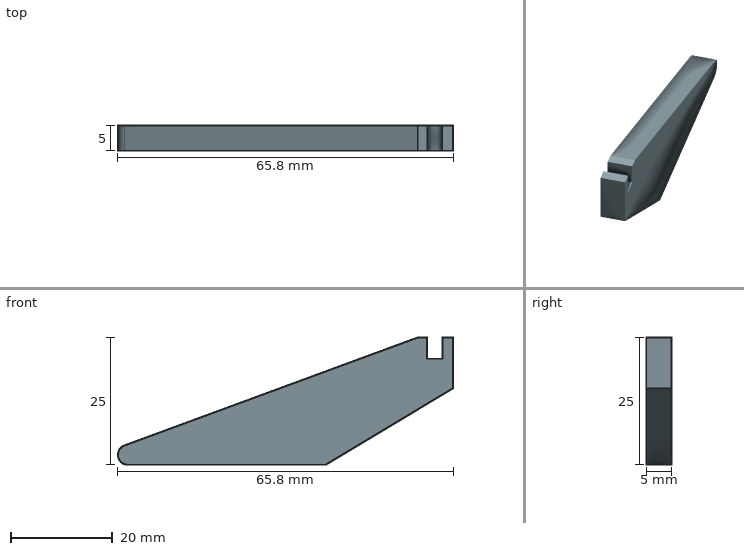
import cadquery as cq
import math

length = 65.75
thickness = 5.0
height = 25.0

nose_radius = 2.0
end_face_height = 10.0
underside_slope_run = 25.0
top_land_length = 7.0

slot_width = 2.95
slot_depth = 4.15
end_prong_width = 2.1

land_start_x = length - top_land_length
center_to_land_x = land_start_x - nose_radius
center_to_land_z = height - nose_radius
center_distance = math.hypot(center_to_land_x, center_to_land_z)
slope_angle = (
    math.atan2(center_to_land_z, center_to_land_x)
    - math.asin(nose_radius / center_distance)
)


def nose_point(angle):
    """Point on the nose circle at an angle measured from +X."""
    return (
        nose_radius + nose_radius * math.cos(angle),
        nose_radius + nose_radius * math.sin(angle),
    )


plate = (
    cq.Workplane("XZ")
    .moveTo(nose_radius, 0)
    .lineTo(length - underside_slope_run, 0)
    .lineTo(length, height - end_face_height)
    .lineTo(length, height)
    .lineTo(land_start_x, height)
    .lineTo(*nose_point(slope_angle + math.pi / 2))
    .threePointArc(nose_point(math.pi), (nose_radius, 0))
    .close()
    .extrude(thickness / 2, both=True)
)

slot = (
    cq.Workplane("XY")
    .box(slot_width, thickness, slot_depth, centered=(False, True, False))
    .translate((length - end_prong_width - slot_width, 0, height - slot_depth))
)

result = plate.cut(slot)